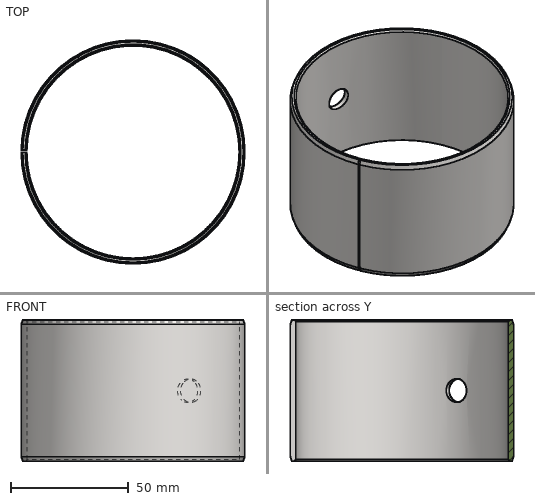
import cadquery as cq
import math

outer_diameter = 95.0
length = 60.0
wall = 2.5
outer_radius = outer_diameter / 2
inner_radius = outer_radius - wall

outer_chamfer_length = 2.0
outer_chamfer_depth = 0.73
inner_chamfer = 0.8

slit_width = 0.8

hole_diameter = 10.0
hole_angle = 59.0
hole_height = length / 2


def sleeve():
    """Revolve the wall section, chamfered at all four corners, about Z."""
    section = [
        (inner_radius, inner_chamfer),
        (inner_radius + inner_chamfer, 0),
        (outer_radius - outer_chamfer_depth, 0),
        (outer_radius, outer_chamfer_length),
        (outer_radius, length - outer_chamfer_length),
        (outer_radius - outer_chamfer_depth, length),
        (inner_radius + inner_chamfer, length),
        (inner_radius, length - inner_chamfer),
    ]
    return cq.Workplane("XZ").polyline(section).close().revolve(360, (0, 0, 0), (0, 1, 0))


def slit():
    """Full-length cutter through the -X wall."""
    return cq.Workplane("XY").box(outer_diameter, slit_width, length, centered=False).translate(
        (-outer_diameter, 0, 0)
    )


def oil_hole():
    """Radial cutter reaching from the axis through one wall."""
    angle = math.radians(hole_angle)
    direction = cq.Vector(math.cos(angle), math.sin(angle), 0)
    return cq.Workplane(
        cq.Solid.makeCylinder(hole_diameter / 2, outer_diameter, cq.Vector(0, 0, hole_height), direction)
    )


result = sleeve().cut(slit()).cut(oil_hole())